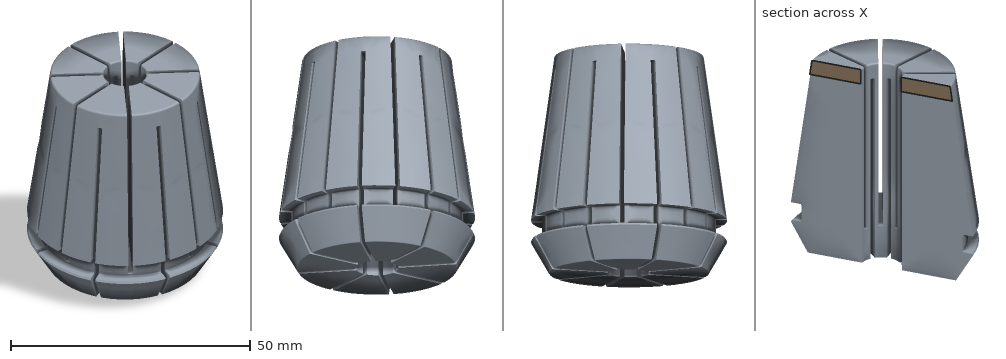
import cadquery as cq
import math

length = 46.0
max_radius = 20.5
bore_radius = 4.5
bore_edge_fillet = 0.4

taper_angle = 8.0
taper_start_z = 11.15
top_edge_fillet = 0.5

groove_radius = 18.15
groove_floor_z = 7.0
groove_root_fillet = 0.2

collar_edge_width = 0.25
collar_edge_height = 0.4
nose_angle = 30.0
nose_edge_fillet = 0.2

slot_count = 8
slot_width = 1.0
lower_slot_top_z = 42.5
upper_slot_bottom_z = 7.5
slot_pitch = 360 / slot_count
blade_length = 2 * max_radius + 2 * slot_width

rim_z = groove_floor_z - collar_edge_height
nose_radius = max_radius - rim_z * math.tan(math.radians(nose_angle))
top_radius = max_radius - (length - taper_start_z) * math.tan(math.radians(taper_angle))

match_tolerance = 0.001


def make_blank():
    """Revolve the sharp-edged collet profile, bore included, about Z."""
    profile = [
        (bore_radius, 0),
        (nose_radius, 0),
        (max_radius, rim_z),
        (max_radius - collar_edge_width, groove_floor_z),
        (groove_radius, groove_floor_z),
        (groove_radius, taper_start_z),
        (max_radius, taper_start_z),
        (top_radius, length),
        (bore_radius, length),
    ]
    return cq.Workplane("XZ").polyline(profile).close().revolve(360, (0, 0), (0, 1))


def fillet_circle(body, radius, z, fillet):
    """Round the circular edge that has the given radius and height."""

    def is_wanted(edge):
        same_radius = abs(edge.radius() - radius) < match_tolerance
        same_height = abs(edge.Center().z - z) < match_tolerance
        return same_radius and same_height

    return body.edges("%CIRCLE").filter(is_wanted).fillet(fillet)


def round_edges(body):
    """Round the two top edges, the groove roots and the nose edge."""
    body = fillet_circle(body, top_radius, length, top_edge_fillet)
    body = fillet_circle(body, bore_radius, length, bore_edge_fillet)
    body = fillet_circle(body, groove_radius, groove_floor_z, groove_root_fillet)
    body = fillet_circle(body, groove_radius, taper_start_z, groove_root_fillet)
    return fillet_circle(body, nose_radius, 0, nose_edge_fillet)


def cut_slots(body, bottom_z, top_z, first_angle):
    """Cut radial slots evenly about Z; one blade makes two opposite slots."""
    blade = (
        cq.Workplane("XY")
        .workplane(offset=bottom_z)
        .rect(blade_length, slot_width)
        .extrude(top_z - bottom_z)
    )
    for index in range(slot_count // 2):
        angle = first_angle + index * slot_pitch
        body = body.cut(blade.rotate((0, 0, 0), (0, 0, 1), angle))
    return body


collet = round_edges(make_blank())
collet = cut_slots(collet, 0, lower_slot_top_z, 0)
result = cut_slots(collet, upper_slot_bottom_z, length, slot_pitch / 2)